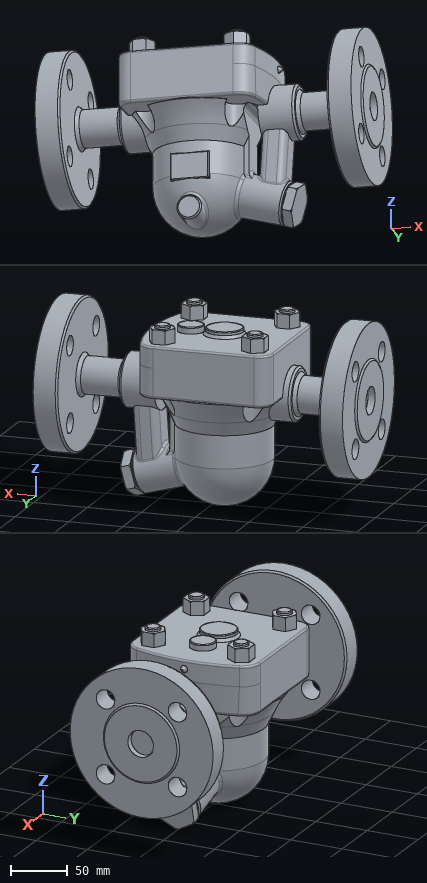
import cadquery as cq
import math

overall_length = 291.0
body_x = -10.2
body_radius = 44.0

raised_face_height = 1.7
raised_face_diameter = 74.5
raised_face_bevel = 1.7
flange_diameter = 140.0
flange_thickness = 22.5
flange_bevel = 1.7
flange_hole_diameter = 18.0
flange_hole_offset = 35.2
pipe_diameter = 34.0
bore_diameter = 25.0
bore_depth = 6.7
weld_diameter = 40.0
weld_length = 3.5
hub_diameter = 50.0
hub_outer_x = 79.7
hub_cone_length = 3.5
hub_cone_radius = 20.0
hub_bevel = 2.0
outlet_hub_inner_x = 40.7
inlet_hub_inner_x = -39.3

cover_top = 49.0
cover_split = 29.7
housing_bottom = 1.5
cover_half_width = 62.5
cover_left = body_x - 62.3
left_corner_radius = 13.7
right_corner_radius = 17.5
right_corner_x = 34.5
cover_bow_x = 59.0
housing_bow_x = 57.3
cover_edge_fillet = 1.7
housing_edge_fillet = 2.3

stud_offset = 43.0
stud_diameter = 14.0
stud_top = 65.0
stud_bevel = 1.02
nut_corners = 24.0
nut_height = 13.0
nut_bevel = 1.0

large_boss_foot_diameter = 38.0
large_boss_diameter = 34.0
large_boss_foot_height = 3.0
boss_height = 6.0
boss_bevel = 1.0
small_boss_diameter = 24.0
small_boss_x = 21.2
nub_radius = 4.5
nub_tip_radius = 1.0
nub_length = 5.0
nub_tip_x = 62.5
nub_z = 40.5

flare_rim_radius = 62.5
flare_rim_z = 1.2
flare_middle_radius = 54.7
flare_middle_z = -10.0
neck_radius = 50.3
neck_bottom = -18.5
shoulder_bottom = -32.0
bowl_center_z = -62.3
stud_relief_diameter = 21.5

gap_left = 36.0
gap_right = 46.9
gap_depth = 58.2
rib_half_width = 14.5

leg_angle = 15.0
leg_diameter = 40.0
leg_length = 81.0
leg_bevel = 1.5
leg_fillet = 3.8
plug_neck_diameter = 34.0
plug_corners = 41.5
plug_start = 82.0
plug_end = 91.5
plug_bevel = 1.2
tube_width = 23.5
tube_depth = 32.5
tube_corner = 6.7
tube_tilt = 3.6
tube_top_x = 59.7
tube_top_z = -11.5
tube_length = 64.0
tube_fillet = 2.3

contact_tolerance = 0.003

plate_width = 35.0
plate_height = 24.5
plate_center_z = -54.7
plate_front = 44.2
plate_bevel = 1.0
drain_diameter = 22.5
drain_z = -93.0
drain_front = 46.3
drain_bevel = 1.5
drain_fillet = 3.0


def cylinder_up(x, y, z, diameter, height, bevel=0):
    """Vertical cylinder with an optional bevel around its top."""
    solid = cq.Workplane("XY", origin=(x, y, z)).circle(diameter / 2).extrude(height)
    return solid.faces(">Z").chamfer(bevel) if bevel else solid


def make_pipe_end(hub_inner_x):
    """Flange, pipe and hub on the +X side, with the hub starting at hub_inner_x."""
    end_x = overall_length / 2
    face_x = end_x - raised_face_height
    back_x = face_x - flange_thickness
    pipe_radius = pipe_diameter / 2
    hub_radius = hub_diameter / 2
    flange_radius = flange_diameter / 2
    raised_radius = raised_face_diameter / 2
    profile = [
        (hub_inner_x, 0),
        (hub_inner_x, hub_radius),
        (hub_outer_x - hub_bevel, hub_radius),
        (hub_outer_x, hub_radius - hub_bevel),
        (hub_outer_x, hub_cone_radius),
        (hub_outer_x + hub_cone_length, pipe_radius),
        (back_x - weld_length, pipe_radius),
        (back_x, weld_diameter / 2),
        (back_x, flange_radius - flange_bevel),
        (back_x + flange_bevel, flange_radius),
        (face_x, flange_radius),
        (face_x, raised_radius),
        (end_x, raised_radius - raised_face_bevel),
        (end_x, 0),
    ]
    solid = cq.Workplane("XY").polyline(profile).close().revolve(360, (0, 0, 0), (1, 0, 0))
    hole_side = 2 * flange_hole_offset
    holes = (
        cq.Workplane("YZ", origin=(back_x, 0, 0))
        .rect(hole_side, hole_side, forConstruction=True)
        .vertices()
        .circle(flange_hole_diameter / 2)
        .extrude(flange_thickness)
    )
    bore = cq.Workplane("YZ", origin=(end_x - bore_depth, 0, 0))
    bore = bore.circle(bore_diameter / 2).extrude(bore_depth)
    return solid.cut(holes).cut(bore)


def cover_outline(plane, bow_x):
    """Rounded rectangle whose right side is an arc bowing out to bow_x, tangent to the corners."""
    top = cover_half_width
    left_corner_y = top - left_corner_radius
    left_corner_x = cover_left + left_corner_radius
    diagonal = left_corner_radius * math.sqrt(0.5)
    radius = right_corner_radius
    right_corner_y = top - radius
    overhang = bow_x - right_corner_x
    bow_radius = (overhang**2 + right_corner_y**2 - radius**2) / (2 * (overhang - radius))
    touch_angle = math.asin(right_corner_y / (bow_radius - radius))
    middle_angle = (touch_angle + math.pi / 2) / 2
    touch_x = right_corner_x + radius * math.cos(touch_angle)
    touch_y = right_corner_y + radius * math.sin(touch_angle)
    middle_x = right_corner_x + radius * math.cos(middle_angle)
    middle_y = right_corner_y + radius * math.sin(middle_angle)
    return (
        plane.moveTo(left_corner_x, top)
        .lineTo(right_corner_x, top)
        .threePointArc((middle_x, middle_y), (touch_x, touch_y))
        .threePointArc((bow_x, 0), (touch_x, -touch_y))
        .threePointArc((middle_x, -middle_y), (right_corner_x, -top))
        .lineTo(left_corner_x, -top)
        .threePointArc((left_corner_x - diagonal, -left_corner_y - diagonal), (cover_left, -left_corner_y))
        .lineTo(cover_left, left_corner_y)
        .threePointArc((left_corner_x - diagonal, left_corner_y + diagonal), (left_corner_x, top))
        .close()
    )


def make_cover():
    """Cover plate over a housing whose bowed side tapers in towards the bottom."""
    plate = cover_outline(cq.Workplane("XY", origin=(0, 0, cover_split)), cover_bow_x)
    plate = plate.extrude(cover_top - cover_split).faces(">Z").edges().fillet(cover_edge_fillet)
    lower = cover_outline(cq.Workplane("XY", origin=(0, 0, housing_bottom)), housing_bow_x)
    housing = cover_outline(lower.workplane(offset=cover_split - housing_bottom), cover_bow_x)
    housing = housing.loft(ruled=True).faces("<Z").edges().fillet(housing_edge_fillet)
    return plate.union(housing)


def make_fastener(x, y, turn):
    """Stud and hexagonal nut on the cover, the nut turned by the given angle."""
    stud = cylinder_up(x, y, cover_top, stud_diameter, stud_top - cover_top, stud_bevel)
    nut = cq.Workplane("XY").polygon(6, nut_corners).extrude(nut_height)
    corner_trim = cylinder_up(0, 0, 0, nut_corners, nut_height, nut_bevel)
    nut = nut.intersect(corner_trim).rotate((0, 0, 0), (0, 0, 1), turn)
    return stud.union(nut.translate((x, y, cover_top)))


def make_cover_bosses():
    """Round bosses on the cover and the small conical nub on its bowed side."""
    foot = (
        cq.Workplane("XY", origin=(body_x, 0, cover_top))
        .circle(large_boss_foot_diameter / 2)
        .workplane(offset=large_boss_foot_height)
        .circle(large_boss_diameter / 2)
        .loft()
    )
    large = cylinder_up(body_x, 0, cover_top, large_boss_diameter, boss_height, boss_bevel)
    small = cylinder_up(small_boss_x, 0, cover_top, small_boss_diameter, boss_height, boss_bevel)
    tip = cq.Vector(nub_tip_x - nub_length, 0, nub_z)
    nub = cq.Solid.makeCone(nub_radius, nub_tip_radius, nub_length, tip, cq.Vector(1, 0, 0))
    return large.union(foot).union(small).union(cq.Workplane(nub))


def make_body():
    """Flared neck, conical shoulder, cylinder and hemispherical bowl."""
    bowl_side = body_radius * math.sqrt(0.5)
    return (
        cq.Workplane("XZ", origin=(body_x, 0, 0))
        .moveTo(0, cover_split)
        .lineTo(0, bowl_center_z - body_radius)
        .threePointArc((bowl_side, bowl_center_z - bowl_side), (body_radius, bowl_center_z))
        .lineTo(body_radius, shoulder_bottom)
        .lineTo(neck_radius, neck_bottom)
        .threePointArc((flare_middle_radius, flare_middle_z), (flare_rim_radius, flare_rim_z))
        .lineTo(neck_radius, cover_split)
        .close()
        .revolve(360, (0, 0, 0), (0, 1, 0))
    )


def make_gap():
    """Round-topped slot across the part between the neck and the outlet hub."""
    width = gap_right - gap_left
    middle = (gap_left + gap_right) / 2
    spring_z = housing_bottom - width / 2
    return (
        cq.Workplane("XZ", origin=(0, cover_half_width, 0))
        .moveTo(gap_left, spring_z)
        .threePointArc((middle, housing_bottom), (gap_right, spring_z))
        .lineTo(gap_right, spring_z - gap_depth)
        .lineTo(gap_left, spring_z - gap_depth)
        .close()
        .extrude(2 * cover_half_width)
    )


def make_rib():
    """Flat-faced vertical rib that carries the neck down to the strainer leg."""
    length = gap_left - body_x
    height = neck_bottom - bowl_center_z
    rib = cq.Workplane("XY").box(length, 2 * rib_half_width, height, centered=(False, True, False))
    return rib.translate((body_x, 0, bowl_center_z))


def make_strainer():
    """Inclined leg with a hexagonal plug, aimed at the centre of the bowl."""
    leg = cq.Workplane("YZ").circle(leg_diameter / 2).extrude(leg_length).faces(">X").chamfer(leg_bevel)
    plug_neck = cq.Workplane("YZ").circle(plug_neck_diameter / 2).extrude(plug_end)
    plug_height = plug_end - plug_start
    plug = cq.Workplane("XY").polygon(6, plug_corners).extrude(plug_height)
    corner_trim = cylinder_up(0, 0, 0, plug_corners, plug_height).edges().chamfer(plug_bevel)
    plug = plug.intersect(corner_trim).rotate((0, 0, 0), (0, 1, 0), 90).translate((plug_start, 0, 0))
    solid = leg.union(plug_neck).union(plug).rotate((0, 0, 0), (0, 1, 0), leg_angle)
    return solid.translate((body_x, 0, bowl_center_z))


def make_tube():
    """Slightly tilted rounded tube from the outlet hub down to the strainer leg."""
    tube = cq.Workplane("XY").rect(tube_width, tube_depth).extrude(-tube_length)
    tube = tube.edges("|Z").fillet(tube_corner).rotate((0, 0, 0), (0, 1, 0), tube_tilt)
    return tube.translate((tube_top_x, 0, tube_top_z))


def make_name_plate():
    """Rectangular pad on the -Y side of the body."""
    plate = cq.Workplane("XZ", origin=(body_x, 0, plate_center_z)).rect(plate_width, plate_height)
    return plate.extrude(plate_front).faces("<Y").chamfer(plate_bevel)


def make_drain():
    """Round boss pointing to -Y near the bottom of the bowl."""
    drain = cq.Workplane("XZ", origin=(body_x, 0, drain_z)).circle(drain_diameter / 2)
    return drain.extrude(drain_front).faces("<Y").chamfer(drain_bevel)


def touches(solid, point):
    """True if the point lies on or in the solid."""
    return solid.val().distance(cq.Vertex.makeVertex(*point.toTuple())) < contact_tolerance


def join_with_fillet(base, addition, radius):
    """Unite two solids and round the seam where their surfaces meet."""
    joined = base.union(addition)
    seam = []
    for edge in joined.edges().vals():
        points = edge.positions((0.2, 0.5, 0.8))
        if all(touches(base, point) and touches(addition, point) for point in points):
            seam.append(edge)
    return joined.newObject(seam).fillet(radius)


stud_positions = [
    (body_x + side_x * stud_offset, side_y * stud_offset) for side_x in (-1, 1) for side_y in (-1, 1)
]

gap = make_gap()
result = make_body().cut(gap)
relief_depth = housing_bottom - shoulder_bottom
for stud_x, stud_y in stud_positions:
    relief = cylinder_up(stud_x, stud_y, shoulder_bottom, stud_relief_diameter, relief_depth)
    result = result.cut(relief)

strainer = join_with_fillet(make_strainer(), make_tube(), tube_fillet)
result = join_with_fillet(result, make_drain(), drain_fillet)
result = join_with_fillet(result.union(make_rib()), strainer, leg_fillet)
result = result.union(make_name_plate())

result = result.union(make_pipe_end(-inlet_hub_inner_x).mirror("YZ"))
result = result.union(make_pipe_end(outlet_hub_inner_x).cut(gap))

result = result.union(make_cover()).union(make_cover_bosses())
for stud_x, stud_y in stud_positions:
    turn = 0 if (stud_x - body_x) * stud_y > 0 else 90
    result = result.union(make_fastener(stud_x, stud_y, turn))